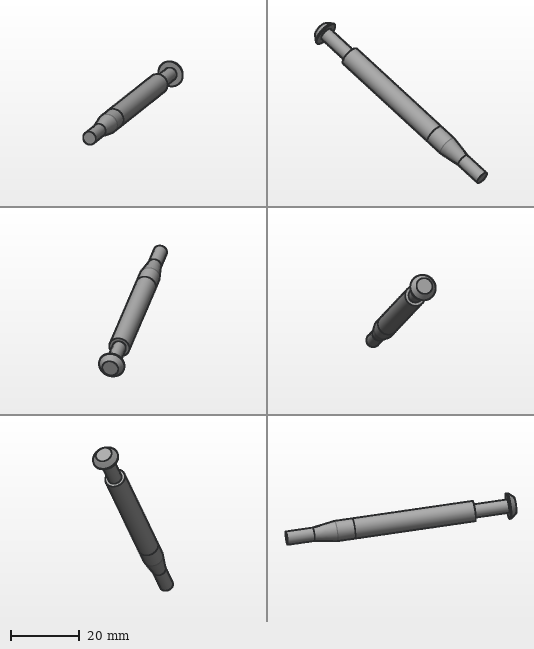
import cadquery as cq
import math

total_length = 67.8
tip_length = 8.0
nose_taper_length = 6.6
nose_straight_length = 5.3
exposed_shank = 10.05

shank_diameter = 4.0
sleeve_diameter = 6.05
head_diameter = 7.6
head_top_diameter = 4.75

head_height = 2.2
head_rim_height = 0.4
dome_bulge = 0.1

shank_radius = shank_diameter / 2
sleeve_radius = sleeve_diameter / 2
head_radius = head_diameter / 2
head_top_radius = head_top_diameter / 2
taper_end = tip_length + nose_taper_length
nose_end = taper_end + nose_straight_length
head_start = total_length - head_height
rim_end = head_start + head_rim_height
sleeve_end = head_start - exposed_shank


def turn(profile):
    """Revolve a closed XY half profile about the Y axis."""
    return profile.close().revolve(360, (0, 0, 0), (0, 1, 0))


def make_screw():
    """Full-length shank with a domed button head."""
    chord_x = head_top_radius - head_radius
    chord_y = total_length - rim_end
    chord = math.hypot(chord_x, chord_y)
    dome_middle = (
        (head_radius + head_top_radius) / 2 + dome_bulge * chord_y / chord,
        (rim_end + total_length) / 2 - dome_bulge * chord_x / chord,
    )
    return turn(
        cq.Workplane("XY")
        .lineTo(shank_radius, 0)
        .lineTo(shank_radius, head_start)
        .lineTo(head_radius, head_start)
        .lineTo(head_radius, rim_end)
        .threePointArc(dome_middle, (head_top_radius, total_length))
        .lineTo(0, total_length)
    )


def make_sleeve():
    """Plain tube around the shank."""
    return turn(
        cq.Workplane("XY")
        .moveTo(shank_radius, nose_end)
        .lineTo(sleeve_radius, nose_end)
        .lineTo(sleeve_radius, sleeve_end)
        .lineTo(shank_radius, sleeve_end)
    )


def make_nose():
    """Ring with a conical front that narrows from the sleeve down to the shank."""
    return turn(
        cq.Workplane("XY")
        .moveTo(shank_radius, tip_length)
        .lineTo(sleeve_radius, taper_end)
        .lineTo(sleeve_radius, nose_end)
        .lineTo(shank_radius, nose_end)
    )


screw = make_screw()
sleeve = make_sleeve()
nose = make_nose()

result = cq.Compound.makeCompound([screw.val(), sleeve.val(), nose.val()])